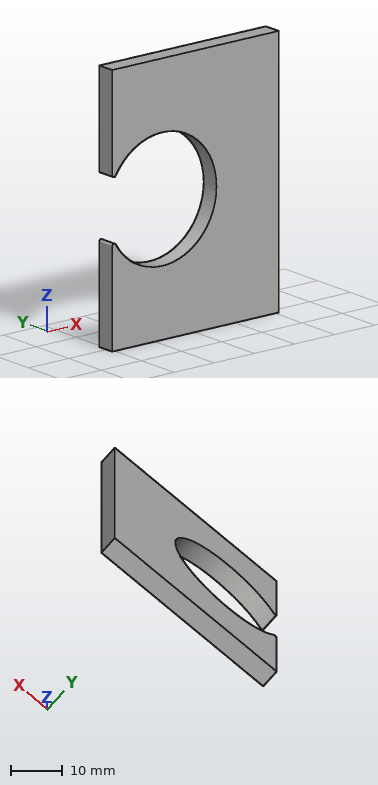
import cadquery as cq

plate_width = 41.5
plate_thickness = 4.0
plate_height = 57.0

opening_radius = 13.5
opening_inset = 12.5
tip_radius = 0.485

left_edge = -plate_width / 2


def make_plate():
    return cq.Workplane("XY").box(plate_width, plate_thickness, plate_height)


def cut_opening(body):
    cutter = (
        cq.Workplane("XZ")
        .center(left_edge + opening_inset, 0)
        .circle(opening_radius)
        .extrude(plate_thickness, both=True)
    )
    return body.cut(cutter)


def round_tips(body):
    tip_zone = cq.selectors.BoxSelector(
        (left_edge - tip_radius, -plate_thickness, -opening_radius),
        (left_edge + tip_radius, plate_thickness, opening_radius),
    )
    tips = body.faces("<X").edges("|Y").edges(tip_zone)
    return tips.fillet(tip_radius)


result = round_tips(cut_opening(make_plate()))